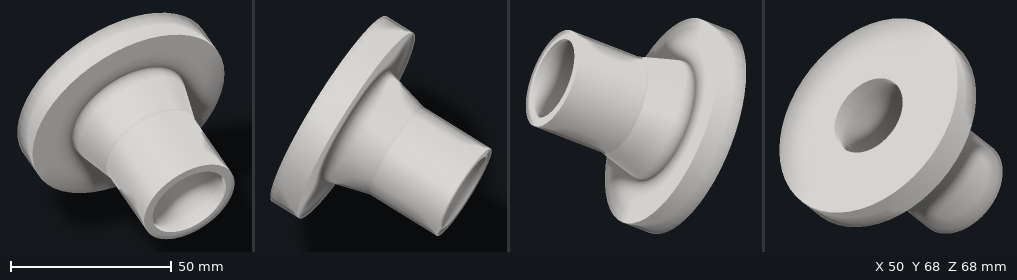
import cadquery as cq

flange_diameter = 68.0
flange_thickness = 10.0
hub_diameter = 40.0
hub_length = 15.0
pipe_diameter = 32.0
bore_diameter = 26.0
total_length = 50.0

flange_radius = flange_diameter / 2
hub_radius = hub_diameter / 2
pipe_radius = pipe_diameter / 2
bore_radius = bore_diameter / 2
hub_end = flange_thickness + hub_length

section = (
    cq.Workplane("XY")
    .moveTo(0, bore_radius)
    .lineTo(0, flange_radius)
    .lineTo(flange_thickness, flange_radius)
    .lineTo(flange_thickness, hub_radius)
    .lineTo(hub_end, pipe_radius)
    .lineTo(total_length, pipe_radius)
    .lineTo(total_length, bore_radius)
    .close()
)

result = section.revolve(360, (0, 0, 0), (1, 0, 0))